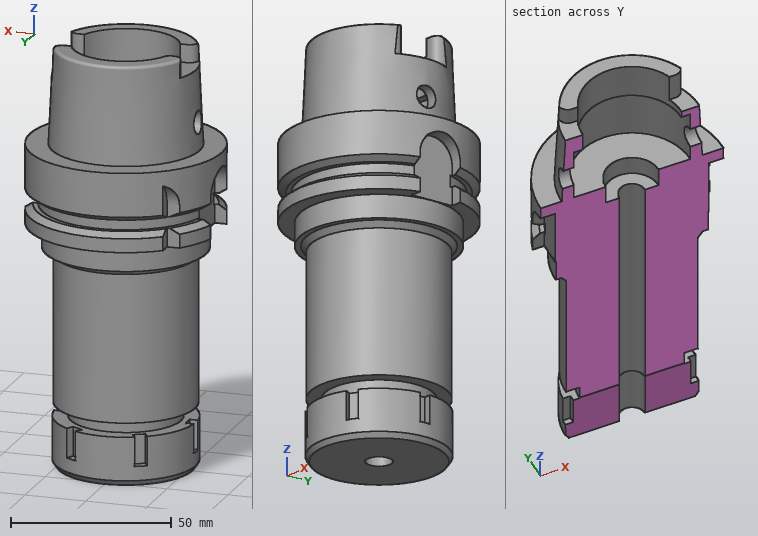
import cadquery as cq
import math

total_height = 137.0
nut_height = 16.0
neck_top = 20.5
body_top = 69.2
collar_bottom = 71.2
flange_bottom = 79.0
flange_top = 105.0

flange_radius = 31.5
collar_radius = 26.3
collar_cone_radius = 24.4
body_radius = 22.7
neck_radius = 18.1
shank_base_radius = 24.2
shank_top_radius = 22.7
shank_mouth_fillet = 1.1

groove_bottom = 85.2
groove_top = 88.9
groove_floor_radius = 27.4
groove_shoulder_radius = 29.0
groove_bevel_height = 1.6

through_hole_radius = 4.4
counterbore_radius = 9.0
counterbore_depth = 6.8
mouth_radius = 17.0
mouth_depth = 12.6
chamber_radius = 20.0
chamber_floor = flange_top

drive_slot_width = 12.6
drive_slot_depth_left = 5.9
drive_slot_depth_right = 10.0
drive_slot_edge_fillet = 3.0
drive_slot_shoulder = 20.8

cross_hole_radius = 3.77
cross_hole_height = 114.1

keyway_width = 16.0
keyway_top = 100.3
keyway_floor = 26.5
notch_wall = 20.1
notch_end_radius = 8.2
notch_end_height = 93.0

nut_radius = 23.0
nut_chamfer_height = 1.8
nut_chamfer_width = 1.2
nut_slot_count = 6
nut_slot_width = 4.0
nut_slot_bottom = 6.5
nut_slot_floor = 20.3


def cylinder(radius, bottom, top):
    return cq.Workplane("XY").workplane(offset=bottom).circle(radius).extrude(top - bottom)


def box_between(x_range, y_range, z_range):
    """Box given by its two limits along each axis."""
    sizes = [limits[1] - limits[0] for limits in (x_range, y_range, z_range)]
    corner = (x_range[0], y_range[0], z_range[0])
    return cq.Workplane("XY").box(*sizes, centered=False).translate(corner)


def turned_holder():
    """Outer turned shape of the holder, from the neck up to the shank mouth."""
    profile = [
        (0, nut_height),
        (neck_radius, nut_height),
        (neck_radius, neck_top),
        (body_radius, neck_top),
        (body_radius, body_top),
        (collar_cone_radius, collar_bottom),
        (collar_radius, collar_bottom),
        (collar_radius, flange_bottom),
        (flange_radius, flange_bottom),
        (flange_radius, groove_bottom - groove_bevel_height),
        (groove_shoulder_radius, groove_bottom),
        (groove_floor_radius, groove_bottom),
        (groove_floor_radius, groove_top),
        (groove_shoulder_radius, groove_top),
        (flange_radius, groove_top + groove_bevel_height),
        (flange_radius, flange_top),
        (shank_base_radius, flange_top),
        (shank_top_radius, total_height),
        (0, total_height),
    ]
    turned = cq.Workplane("XZ").polyline(profile).close().revolve(360, (0, 0, 0), (0, 1, 0))
    return turned.faces(">Z").edges().fillet(shank_mouth_fillet)


def inner_cavity():
    """Stepped bore: straight mouth, wider chamber, counterbore and through hole."""
    chamber_top = total_height - mouth_depth
    counterbore_bottom = chamber_floor - counterbore_depth
    profile = [
        (0, nut_height),
        (through_hole_radius, nut_height),
        (through_hole_radius, counterbore_bottom),
        (counterbore_radius, counterbore_bottom),
        (counterbore_radius, chamber_floor),
        (chamber_radius, chamber_floor),
        (chamber_radius, chamber_top),
        (mouth_radius, chamber_top),
        (mouth_radius, total_height),
        (0, total_height),
    ]
    return cq.Workplane("XZ").polyline(profile).close().revolve(360, (0, 0, 0), (0, 1, 0))


def drive_slot(side, depth):
    """Slot in the shank mouth whose side walls round outwards; side is -1 or +1 along X."""
    half_width = drive_slot_width / 2
    round_start = drive_slot_shoulder - drive_slot_edge_fillet
    round_end_y = half_width + drive_slot_edge_fillet
    clear_of_shank = flange_radius
    arc_x = round_start + drive_slot_edge_fillet * math.sin(math.pi / 4)
    arc_y = round_end_y - drive_slot_edge_fillet * math.cos(math.pi / 4)
    outline = (
        cq.Workplane("XY")
        .workplane(offset=total_height - depth)
        .moveTo(0, -half_width)
        .lineTo(side * round_start, -half_width)
        .threePointArc((side * arc_x, -arc_y), (side * drive_slot_shoulder, -round_end_y))
        .lineTo(side * drive_slot_shoulder, -clear_of_shank)
        .lineTo(side * clear_of_shank, -clear_of_shank)
        .lineTo(side * clear_of_shank, clear_of_shank)
        .lineTo(side * drive_slot_shoulder, clear_of_shank)
        .lineTo(side * drive_slot_shoulder, round_end_y)
        .threePointArc((side * arc_x, arc_y), (side * round_start, half_width))
        .lineTo(0, half_width)
        .close()
    )
    return outline.extrude(depth)


def cross_hole():
    return (
        cq.Workplane("YZ")
        .center(0, cross_hole_height)
        .circle(cross_hole_radius)
        .extrude(flange_radius, both=True)
    )


def keyway(side):
    """Round-ended keyway, open at the flange underside; side is -1 or +1 along X."""
    half_width = keyway_width / 2
    arc_height = keyway_top - half_width
    outline = (
        cq.Workplane("YZ")
        .workplane(offset=side * keyway_floor)
        .moveTo(-half_width, flange_bottom)
        .lineTo(-half_width, arc_height)
        .threePointArc((0, keyway_top), (half_width, arc_height))
        .lineTo(half_width, flange_bottom)
        .close()
    )
    return outline.extrude(side * flange_radius)


def orientation_notch():
    """Corner notch on the -X +Y side of the flange with a rounded upper end."""
    arc_centre_y = notch_wall + notch_end_radius
    outline = (
        cq.Workplane("YZ")
        .workplane(offset=-notch_wall)
        .moveTo(notch_wall, flange_bottom)
        .lineTo(notch_wall, notch_end_height)
        .threePointArc(
            (arc_centre_y, notch_end_height + notch_end_radius),
            (arc_centre_y + notch_end_radius, notch_end_height),
        )
        .lineTo(arc_centre_y + notch_end_radius, flange_bottom)
        .close()
    )
    return outline.extrude(-flange_radius)


def make_holder():
    holder = turned_holder().cut(inner_cavity())
    holder = holder.cut(drive_slot(-1, drive_slot_depth_left))
    holder = holder.cut(drive_slot(1, drive_slot_depth_right))
    holder = holder.cut(cross_hole())
    for side in (-1, 1):
        holder = holder.cut(keyway(side))
    return holder.cut(orientation_notch())


def make_nut():
    nut = cylinder(nut_radius, 0, nut_height)
    nut = nut.faces("<Z").edges().chamfer(nut_chamfer_height, nut_chamfer_width)
    nut = nut.cut(cylinder(through_hole_radius, 0, nut_height))
    spanner_slot = box_between(
        (nut_slot_floor, flange_radius),
        (-nut_slot_width / 2, nut_slot_width / 2),
        (nut_slot_bottom, nut_height),
    )
    for index in range(nut_slot_count):
        angle = index * 360 / nut_slot_count
        nut = nut.cut(spanner_slot.rotate((0, 0, 0), (0, 0, 1), angle))
    return nut


holder = make_holder()
nut = make_nut()

result = cq.Compound.makeCompound([holder.val(), nut.val()])